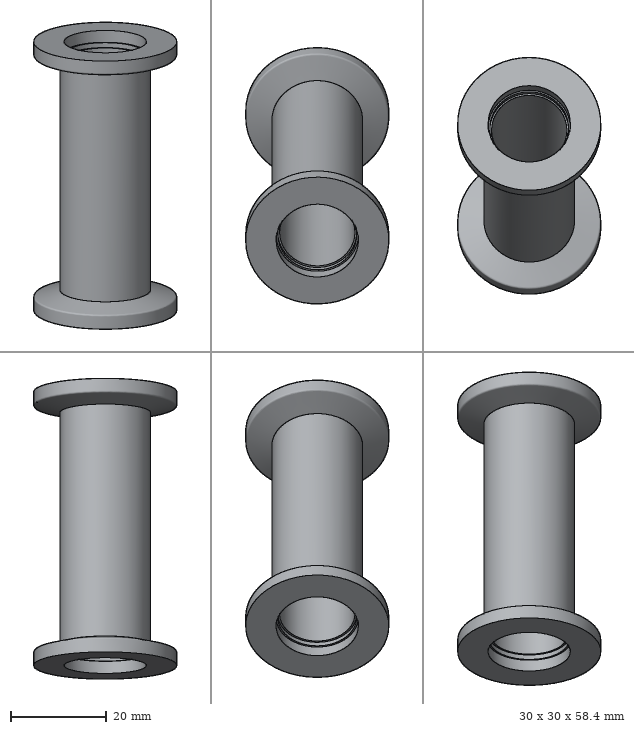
import cadquery as cq
import math

overall_length = 58.4
flange_diameter = 30.0

tube_outer_diameter = 19.05
tube_bore_diameter = 15.75

hub_diameter = 19.3
hub_depth = 4.45
taper_angle = 15.0
rim_fillet = 0.4
counterbore_diameter = 17.2
counterbore_depth = 2.55
lip_diameter = 16.5
socket_start = 3.6

flange_radius = flange_diameter / 2
hub_radius = hub_diameter / 2
taper_height = (flange_radius - hub_radius) * math.tan(math.radians(taper_angle))
rim_height = hub_depth - taper_height
tube_length = overall_length - 2 * socket_start
half_length = overall_length / 2


def make_tube():
    """Plain tube centred on the origin, with its axis along Z."""
    return (
        cq.Workplane("XY")
        .workplane(offset=-tube_length / 2)
        .circle(tube_outer_diameter / 2)
        .circle(tube_bore_diameter / 2)
        .extrude(tube_length)
    )


def make_flange_blank():
    """Solid flange with its sealing face at Z = 0 and its tapered back above."""
    return (
        cq.Workplane("XZ")
        .moveTo(0, 0)
        .lineTo(flange_radius, 0)
        .lineTo(flange_radius, rim_height)
        .lineTo(hub_radius, hub_depth)
        .lineTo(0, hub_depth)
        .close()
        .revolve(360, (0, 0, 0), (0, 1, 0))
        .edges(cq.selectors.RadiusNthSelector(-1))
        .edges(">Z")
        .fillet(rim_fillet)
    )


def make_bore(diameter, start, end):
    """Cylinder on the Z axis, used to cut one step of the flange bore."""
    return cq.Workplane("XY").workplane(offset=start).circle(diameter / 2).extrude(end - start)


def make_flange():
    """Flange with a counterbore, a narrow lip and a socket for the tube end."""
    return (
        make_flange_blank()
        .cut(make_bore(counterbore_diameter, 0, counterbore_depth))
        .cut(make_bore(lip_diameter, counterbore_depth, socket_start))
        .cut(make_bore(tube_outer_diameter, socket_start, hub_depth))
    )


tube = make_tube()

flanges = []
for turn in (0, 180):
    flange = make_flange().translate((0, 0, -half_length)).rotate((0, 0, 0), (1, 0, 0), turn)
    flanges.append(flange.val())

result = cq.Compound.makeCompound([tube.val(), *flanges])